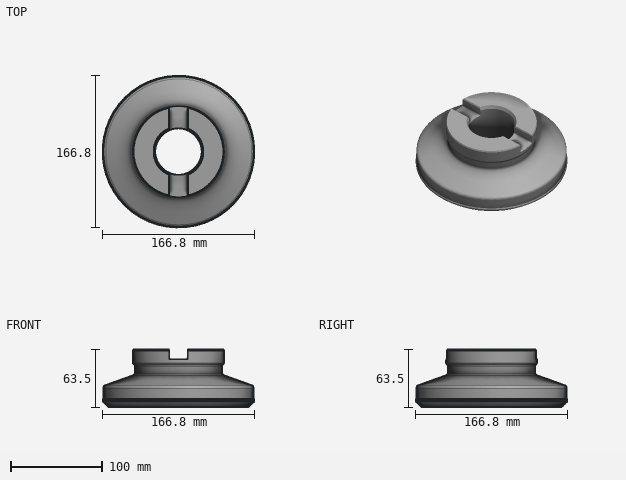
import cadquery as cq

total_height = 63.5
lip_radius = 83.4

base_chamfer_width = 6.7
base_chamfer_height = 6.3
lip_top = 9.0
lip_top_chamfer = 1.0
rim_radius = 164.9 / 2
cone_bottom = 23.2
rim_round = 3.5

neck_radius = 96.0 / 2
cone_top = 35.5
neck_foot_round = 2.0
collar_radius = 100.0 / 2
collar_bottom = 48.0
collar_edge_round = 1.7
undercut_round = 2.8

top_edge_width = 0.8
top_edge_height = 1.5

bore_radius = 50.8 / 2
bore_chamfer_width = 2.0
bore_chamfer_height = 3.5

slot_width = 20.0
slot_depth = 11.0
slot_corner_round = 1.3


def circles_at(body, radius, height):
    """Select the circular edge of the given radius and height."""
    tolerance = 0.08
    reach = radius + tolerance
    outer = cq.selectors.BoxSelector(
        (-reach, -reach, height - tolerance), (reach, reach, height + tolerance), boundingbox=True
    )
    inside = radius - tolerance
    inner = cq.selectors.BoxSelector(
        (-inside, -inside, height - tolerance), (inside, inside, height + tolerance), boundingbox=True
    )
    return body.edges(outer - inner)


def turned_body():
    """Revolve the stepped profile about Z and round its edges."""
    undercut_top = collar_bottom - (collar_radius - neck_radius)
    profile = [
        (bore_radius, 0),
        (lip_radius - base_chamfer_width, 0),
        (lip_radius, base_chamfer_height),
        (lip_radius, lip_top - lip_top_chamfer),
        (rim_radius, lip_top),
        (rim_radius, cone_bottom),
        (neck_radius, cone_top),
        (neck_radius, undercut_top),
        (collar_radius, collar_bottom),
        (collar_radius, total_height - top_edge_height),
        (collar_radius - top_edge_width, total_height),
        (bore_radius + bore_chamfer_width, total_height),
        (bore_radius, total_height - bore_chamfer_height),
    ]
    body = cq.Workplane("XZ").polyline(profile).close().revolve(360, (0, 0), (0, 1))
    rounds = [
        (rim_radius, cone_bottom, rim_round),
        (neck_radius, cone_top, neck_foot_round),
        (neck_radius, undercut_top, undercut_round),
        (collar_radius, collar_bottom, collar_edge_round),
    ]
    for radius, height, size in rounds:
        body = circles_at(body, radius, height).fillet(size)
    return body


def slot_cutter():
    """Bar that cuts the slot, with rounded floor corners and a flared mouth."""
    half_width = slot_width / 2
    mouth_half_width = half_width + top_edge_width
    floor = total_height - slot_depth
    flare_bottom = total_height - top_edge_height
    section = [
        (-half_width, floor),
        (half_width, floor),
        (half_width, flare_bottom),
        (mouth_half_width, total_height),
        (-mouth_half_width, total_height),
        (-half_width, flare_bottom),
    ]
    bar = cq.Workplane("XZ").polyline(section).close().extrude(lip_radius, both=True)
    return bar.edges("|Y and <Z").fillet(slot_corner_round)


result = turned_body().cut(slot_cutter())